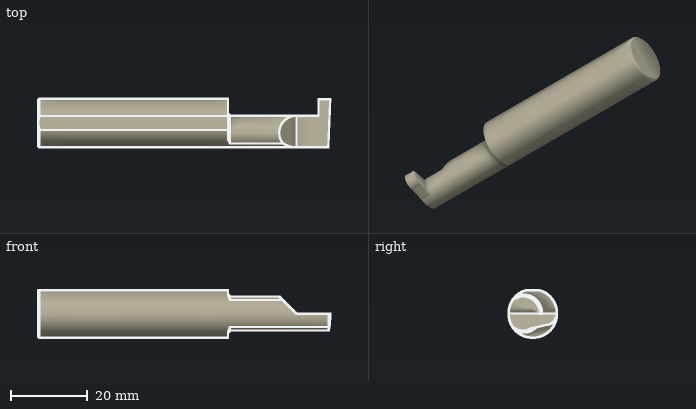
import cadquery as cq
import math

total_length = 76.2
shank_diameter = 12.7
shank_radius = shank_diameter / 2
shank_length = 49.53
rear_chamfer = 0.35
clamp_flat_height = 6.09

neck_radius = 4.45
neck_side = 1.905
neck_axis_y = neck_side - neck_radius
flare_size = 0.55

rake_height = 0.0
ramp_foot_x = 67.31
ramp_angle = 45.0

tooth_width = 3.1
tooth_start_x = total_length - tooth_width
tooth_tip_y = 6.22
tip_relief_height = 0.1
tip_relief_radius = 2.9
end_relief_across = 2.3
end_relief_down = 0.5


def make_shank():
    """Round shank with a chamfered rear edge and a flat along its top."""
    shank = cq.Workplane("YZ").circle(shank_radius).extrude(shank_length)
    shank = shank.faces("<X").chamfer(rear_chamfer)
    above_flat = (
        cq.Workplane("XY")
        .workplane(offset=clamp_flat_height)
        .rect(2 * total_length, shank_diameter)
        .extrude(shank_radius)
    )
    return shank.cut(above_flat)


def make_neck():
    """Offset neck with a conical flare at the shank, trimmed to the shank diameter."""
    flare_radius = neck_radius + flare_size
    neck = (
        cq.Workplane("XZ")
        .moveTo(shank_length, 0)
        .lineTo(shank_length, flare_radius)
        .lineTo(shank_length + flare_size, neck_radius)
        .lineTo(total_length, neck_radius)
        .lineTo(total_length, 0)
        .close()
        .revolve(360, (0, 0, 0), (1, 0, 0))
        .translate((0, neck_axis_y, 0))
    )
    envelope = cq.Workplane("YZ").circle(shank_radius).extrude(total_length)
    return neck.intersect(envelope)


def make_tooth():
    """Tooth reaching to +Y, with a short upright land and a rounded relief under its tip."""
    land_z = rake_height - tip_relief_height
    arc_center_y = tooth_tip_y - tip_relief_radius
    arc_mid = tip_relief_radius * math.sqrt(0.5)
    return (
        cq.Workplane("YZ")
        .workplane(offset=tooth_start_x)
        .moveTo(neck_axis_y, rake_height)
        .lineTo(tooth_tip_y, rake_height)
        .lineTo(tooth_tip_y, land_z)
        .threePointArc(
            (arc_center_y + arc_mid, land_z - arc_mid),
            (arc_center_y, land_z - tip_relief_radius),
        )
        .lineTo(neck_axis_y, -neck_radius)
        .close()
        .extrude(tooth_width)
    )


def make_head_clearance():
    """Material above the rake face and the ramp that rises from it to the neck."""
    clearance_height = shank_diameter
    ramp_run = clearance_height / math.tan(math.radians(ramp_angle))
    return (
        cq.Workplane("XZ")
        .moveTo(ramp_foot_x, rake_height)
        .lineTo(ramp_foot_x - ramp_run, rake_height + clearance_height)
        .lineTo(total_length, rake_height + clearance_height)
        .lineTo(total_length, rake_height)
        .close()
        .extrude(shank_diameter, both=True)
    )


def make_end_relief():
    """Block beyond the end face, which leans back from the tooth tip towards -Y and -Z."""
    block_size = 4 * shank_diameter
    block = cq.Workplane("XY").box(
        block_size, block_size, block_size, centered=(False, True, True)
    )
    tip = (total_length, tooth_tip_y, rake_height)
    return (
        block.rotate((0, 0, 0), (0, 1, 0), end_relief_down)
        .rotate((0, 0, 0), (0, 0, 1), -end_relief_across)
        .translate(tip)
    )


head = make_neck().union(make_tooth()).cut(make_head_clearance()).cut(make_end_relief())
result = make_shank().union(head)